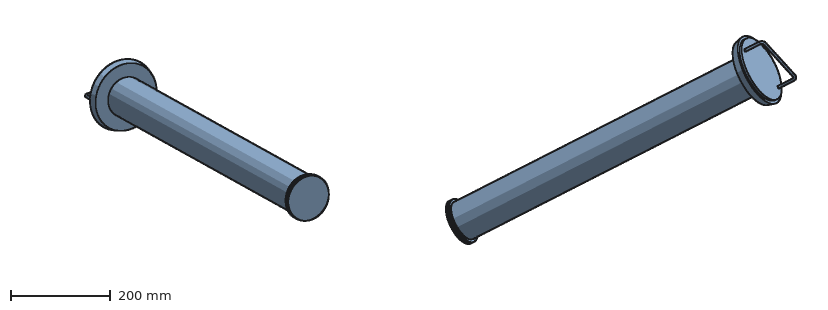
import cadquery as cq
import math

overall_length = 795.0
handle_reach = 47.0

cover_diameter = 137.0
cover_thickness = 5.0
flange_large_diameter = 150.0
flange_small_diameter = 142.0
flange_thickness = 16.0

tube_diameter = 84.0

seal_diameter = 96.0
seal_groove_diameter = 90.5
seal_inner_lip = 3.0
seal_groove_width = 4.0
seal_outer_lip = 3.0
seal_chamfer = 1.0

handle_rod_diameter = 6.0
handle_span = 115.0
handle_bend_radius = 7.0
roll_angle = 6.0

handle_start = 0.0
cover_start = handle_start + handle_reach
flange_start = cover_start + cover_thickness
tube_start = flange_start + flange_thickness
tube_end = handle_start + overall_length
outer_lip_start = tube_end - seal_outer_lip
seal_groove_start = outer_lip_start - seal_groove_width
seal_start = seal_groove_start - seal_inner_lip


def make_body():
    """Cover, tapered flange, tube and grooved seal head, turned about X."""
    cover_radius = cover_diameter / 2
    tube_radius = tube_diameter / 2
    seal_radius = seal_diameter / 2
    groove_radius = seal_groove_diameter / 2
    profile = (
        cq.Workplane("XY")
        .moveTo(cover_start, 0)
        .lineTo(cover_start, cover_radius)
        .lineTo(flange_start, cover_radius)
        .lineTo(flange_start, flange_large_diameter / 2)
        .lineTo(tube_start, flange_small_diameter / 2)
        .lineTo(tube_start, tube_radius)
        .lineTo(seal_start, tube_radius)
        .lineTo(seal_start, seal_radius)
        .lineTo(seal_groove_start, seal_radius)
        .lineTo(seal_groove_start, groove_radius)
        .lineTo(outer_lip_start, groove_radius)
        .lineTo(outer_lip_start, seal_radius)
        .lineTo(tube_end - seal_chamfer, seal_radius)
        .lineTo(tube_end, seal_radius - seal_chamfer)
        .lineTo(tube_end, 0)
        .close()
    )
    return profile.revolve(360, (0, 0, 0), (1, 0, 0))


def make_handle():
    """U-shaped round rod lying in the XY plane, both legs passing through the cover."""
    leg_y = handle_span / 2
    grip_x = handle_start + handle_rod_diameter / 2
    bend_x = grip_x + handle_bend_radius
    bend_y = leg_y - handle_bend_radius
    bend_offset = handle_bend_radius * math.sqrt(0.5)
    leg_end = flange_start
    path = (
        cq.Workplane("XY")
        .moveTo(leg_end, -leg_y)
        .lineTo(bend_x, -leg_y)
        .threePointArc((bend_x - bend_offset, -bend_y - bend_offset), (grip_x, -bend_y))
        .lineTo(grip_x, bend_y)
        .threePointArc((bend_x - bend_offset, bend_y + bend_offset), (bend_x, leg_y))
        .lineTo(leg_end, leg_y)
    )
    return (
        cq.Workplane("YZ", origin=(leg_end, -leg_y, 0))
        .circle(handle_rod_diameter / 2)
        .sweep(path)
    )


result = make_body().union(make_handle()).rotate((0, 0, 0), (1, 0, 0), roll_angle)